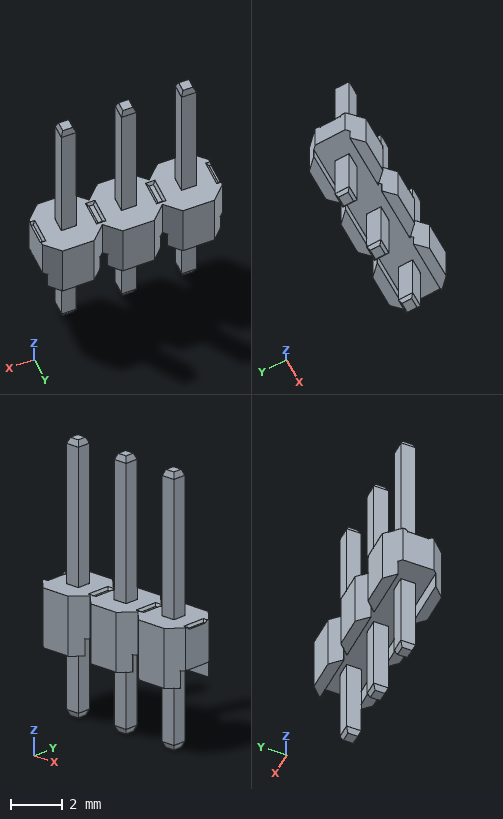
import cadquery as cq

pin_count = 3
pitch = 2.54
row_length = pin_count * pitch

body_depth = 2.54
body_height = 2.5
corner_chamfer = 0.6

underside_height = 0.72
channel_width = 1.6
notch_width = 0.29

recess_length = 1.1
recess_width = 0.4
recess_depth = 0.1
recess_inset = 0.1

pin_length = 11.6
pin_width = 0.64
pin_below_body = 2.99
tip_height = 0.25
tip_inset = 0.1

pin_positions = [((i - (pin_count - 1) / 2) * pitch, 0) for i in range(pin_count)]
joint_positions = [((i - pin_count / 2) * pitch, 0) for i in range(pin_count + 1)]


def tapered_block(base_x, base_y, inset, height):
    """Rectangular frustum rising from Z = 0 (sinking if height is negative), inset on every side."""
    return (
        cq.Workplane("XY")
        .rect(base_x, base_y)
        .workplane(offset=height)
        .rect(base_x - 2 * inset, base_y - 2 * inset)
        .loft(ruled=True)
    )


def make_body():
    """Row of octagonal cells that share their side faces."""
    cell = (
        cq.Workplane("XY")
        .box(pitch, body_depth, body_height, centered=(True, True, False))
        .edges("|Z")
        .chamfer(corner_chamfer)
    )
    body = cq.Workplane("XY")
    for x, y in pin_positions:
        body = body.union(cell.translate((x, y, 0)))
    return body


def cut_underside(body):
    """Lengthwise channel, and a crosswise notch at every joint and at both ends."""
    channel = cq.Workplane("XY").box(
        row_length, channel_width, underside_height, centered=(True, True, False)
    )
    notches = (
        cq.Workplane("XY")
        .pushPoints(joint_positions)
        .box(notch_width, body_depth, underside_height, centered=(True, True, False))
    )
    return body.cut(channel).cut(notches)


def cut_recesses(body):
    """Tapered recess at every joint; the ends of the row carry half of one."""
    recess = tapered_block(recess_width, recess_length, recess_inset, -recess_depth)
    for x, y in joint_positions:
        body = body.cut(recess.translate((x, y, body_height)))
    return body


def make_pin():
    """Square pin with a blunt tapered tip at each end, starting at Z = 0."""
    shank_length = pin_length - 2 * tip_height
    shank = cq.Workplane("XY").box(pin_width, pin_width, shank_length, centered=(True, True, False))
    upper_tip = tapered_block(pin_width, pin_width, tip_inset, tip_height)
    lower_tip = tapered_block(pin_width, pin_width, tip_inset, -tip_height)
    pin = shank.union(upper_tip.translate((0, 0, shank_length))).union(lower_tip)
    return pin.translate((0, 0, tip_height))


pin = make_pin()
result = cut_recesses(cut_underside(make_body()))
for x, y in pin_positions:
    result = result.union(pin.translate((x, y, -pin_below_body)))